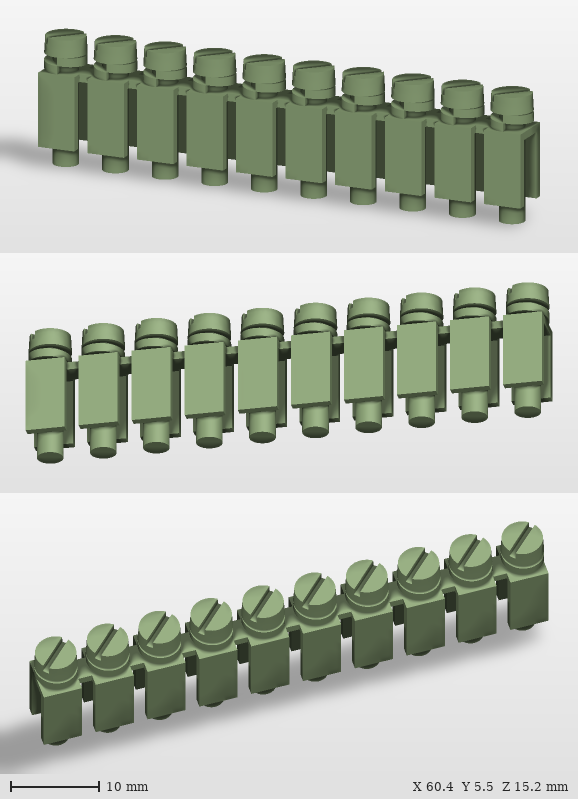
import cadquery as cq

overall_length = 60.4
clamp_count = 10

block_length = 4.5
block_width = 5.5
block_height = 8.75
block_wall = 1.0
roof_thickness = 0.9
web_width = 2.7

shaft_diameter = 3.0
shaft_protrusion = 2.4
head_diameter = 4.95
head_top_diameter = 4.7
head_height = 2.05
slot_width = 0.8
slot_depth = 0.9
slot_angle = 45.0

washer_gap = 2.0
washer_rise = 1.0
washer_end_bite = 0.01
washer_overlap = 0.1

pitch = (overall_length - head_diameter) / (clamp_count - 1)
block_top = shaft_protrusion + block_height
washer_thickness = washer_gap - washer_rise + 2 * washer_end_bite
head_bottom = block_top + washer_gap
head_top = head_bottom + head_height


def make_block():
    block = cq.Workplane("XY").box(block_length, block_width, block_height, centered=(True, True, False))
    channel = cq.Workplane("XY").box(
        block_length,
        block_width - 2 * block_wall,
        block_height - roof_thickness,
        centered=(True, True, False),
    )
    return block.cut(channel).translate((0, 0, shaft_protrusion))


def make_screw():
    shaft = cq.Workplane("XY").circle(shaft_diameter / 2).extrude(head_bottom)
    head = (
        cq.Workplane("XY", origin=(0, 0, head_bottom))
        .circle(head_diameter / 2)
        .workplane(offset=head_height)
        .circle(head_top_diameter / 2)
        .loft()
    )
    slot = (
        cq.Workplane("XY", origin=(0, 0, head_top - slot_depth))
        .transformed(rotate=(0, 0, slot_angle))
        .rect(2 * head_diameter, slot_width)
        .extrude(slot_depth)
    )
    return shaft.union(head.cut(slot))


def make_spring_washer():
    outer_radius = head_diameter / 2
    inner_radius = shaft_diameter / 2 - washer_overlap
    mid_radius = (outer_radius + inner_radius) / 2
    helix = cq.Wire.makeHelix(washer_rise, washer_rise, mid_radius, lefthand=True)
    ring = (
        cq.Workplane("XZ", origin=(mid_radius, 0, 0))
        .rect(outer_radius - inner_radius, washer_thickness)
        .sweep(cq.Workplane(helix), isFrenet=True)
    )
    ring = ring.rotate((0, 0, 0), (0, 0, 1), -90)
    return ring.translate((0, 0, block_top - washer_end_bite + washer_thickness / 2))


def make_web():
    web_length = (clamp_count - 1) * pitch
    return (
        cq.Workplane("XY", origin=(0, 0, block_top - roof_thickness))
        .rect(web_length, web_width)
        .extrude(roof_thickness)
    )


clamp = make_block().union(make_screw()).union(make_spring_washer())

result = make_web()
for index in range(clamp_count):
    x_position = (index - (clamp_count - 1) / 2) * pitch
    result = result.union(clamp.translate((x_position, 0, 0)))